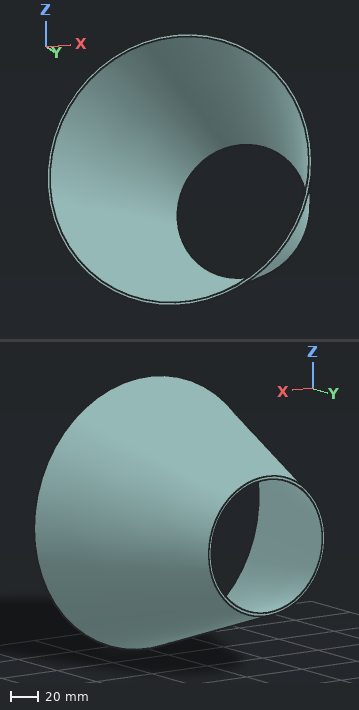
import cadquery as cq

wide_diameter = 205.0
narrow_diameter = 105.0
length = 152.0
wall = 2.5

wide_radius = wide_diameter / 2
narrow_radius = narrow_diameter / 2

wall_section = (
    cq.Workplane("XY")
    .moveTo(wide_radius - wall, 0)
    .lineTo(wide_radius, 0)
    .lineTo(narrow_radius, length)
    .lineTo(narrow_radius - wall, length)
    .close()
)

result = wall_section.revolve(360, (0, 0, 0), (0, 1, 0))